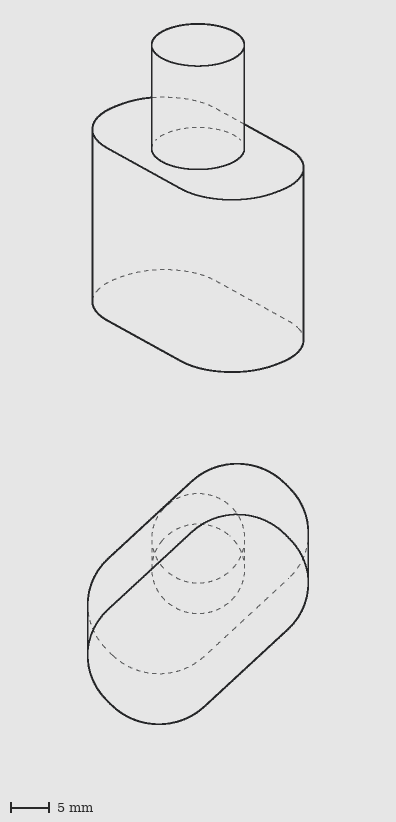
import cadquery as cq

block_length = 32.0
block_width = 18.0
block_height = 25.0
corner_radius = 8.5

pin_diameter = 12.0
pin_height = 15.0


def make_block():
    """Block standing on Z = 0, centred on the Z axis."""
    return (
        cq.Workplane("XY")
        .rect(block_length, block_width)
        .extrude(block_height)
        .edges("|Z")
        .fillet(corner_radius)
    )


def make_pin():
    """Pin rising from the top face of the block."""
    return (
        cq.Workplane("XY")
        .workplane(offset=block_height)
        .circle(pin_diameter / 2)
        .extrude(pin_height)
    )


result = make_block().union(make_pin())